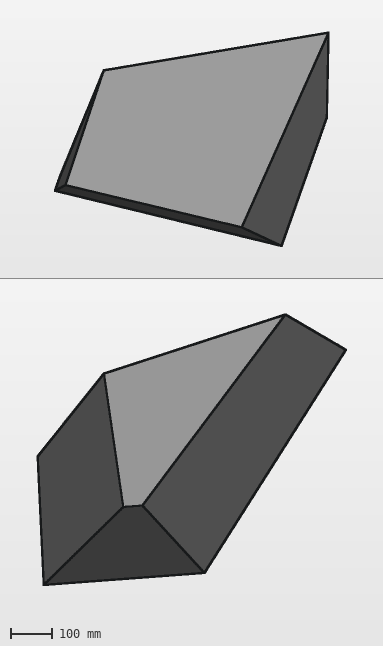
import cadquery as cq

length = 574.04
depth = 771.08
height = 539.3

base_left_front_y = 363.3
base_left_back_y = 411.3
base_right_front_y = 353.7
base_right_back_y = 755.8

back_peak_z = 327.2
shoulder_x = 119.7
shoulder_z = 495.7

cutter_margin = 4
cutter_size = cutter_margin * max(length, depth, height)


def face_plane(start, along, third):
    """Plane through three points, with its normal on the counter-clockwise side."""
    origin = cq.Vector(*start)
    direction = cq.Vector(*along) - origin
    normal = direction.cross(cq.Vector(*third) - origin)
    return cq.Plane(origin=origin, xDir=direction, normal=normal)


def trim_outside(body, plane):
    """Remove everything on the outward side of the plane."""
    cutter = cq.Workplane(plane).rect(cutter_size, cutter_size).extrude(cutter_size)
    return body.cut(cutter)


def point_on_plane(plane, x, z):
    """Point of the plane at the given X and Z."""
    normal = plane.zDir
    origin = plane.origin
    y = origin.y - (normal.x * (x - origin.x) + normal.z * (z - origin.z)) / normal.y
    return (x, y, z)


left_front = (0, base_left_front_y, 0)
left_back = (0, base_left_back_y, 0)
right_front = (length, base_right_front_y, 0)
right_back = (length, base_right_back_y, 0)
front_peak = (length, 0, height)
back_peak = (length, depth, back_peak_z)

front_face = face_plane(left_front, right_front, front_peak)
shoulder = point_on_plane(front_face, shoulder_x, shoulder_z)
back_face = face_plane(right_back, left_back, back_peak)
left_face = face_plane(left_back, left_front, shoulder)
top_face = face_plane(front_peak, back_peak, shoulder)

result = cq.Workplane("XY").box(length, depth, height, centered=False)
for face in (front_face, back_face, left_face, top_face):
    result = trim_outside(result, face)